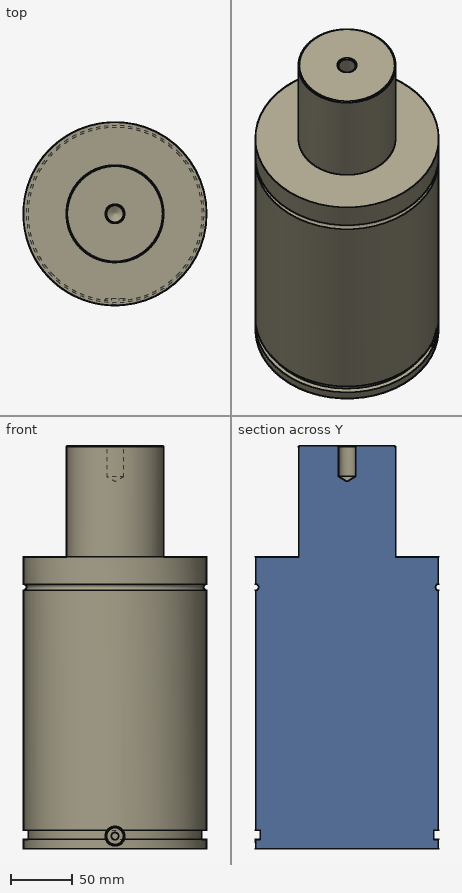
import cadquery as cq
import math

TOTAL_HEIGHT = 330.0
BODY_DIAMETER = 150.0
BODY_HEIGHT = 239.0
ROD_DIAMETER = 80.0
ROD_CHAMFER = 1.0

BASE_GROOVE_BOTTOM = 8.0
BASE_GROOVE_TOP = 15.2
BASE_GROOVE_DEPTH = 4.0

HEAD_GROOVE_HEIGHT = 214.2
HEAD_GROOVE_RADIUS = 2.48

ROD_HOLE_DIAMETER = 14.0
ROD_HOLE_MOUTH_DIAMETER = 16.0
ROD_HOLE_DEPTH = 25.0
DRILL_POINT_ANGLE = 118

PORT_HEIGHT = 10.5
PORT_DIAMETER = 16.0
PORT_FLOOR_DEPTH = 6.0
PLUG_RECESS = 1.0
PLUG_DIAMETER = 14.0
PLUG_HOLE_DIAMETER = 6.0
PLUG_HOLE_DEPTH = 5.0

BODY_RADIUS = BODY_DIAMETER / 2


def port_cylinder(diameter, depth_from, depth_to):
    """Cylinder along Y at the port, between two depths below the body surface."""
    return (
        cq.Workplane("XZ", origin=(0, depth_from - BODY_RADIUS, PORT_HEIGHT))
        .circle(diameter / 2)
        .extrude(depth_from - depth_to)
    )


def make_body():
    """Cylinder body with the square groove and the round-bottomed groove."""
    body = cq.Workplane("XY").circle(BODY_RADIUS).extrude(BODY_HEIGHT)
    base_groove = (
        cq.Workplane("XY", origin=(0, 0, BASE_GROOVE_BOTTOM))
        .circle(BODY_RADIUS)
        .circle(BODY_RADIUS - BASE_GROOVE_DEPTH)
        .extrude(BASE_GROOVE_TOP - BASE_GROOVE_BOTTOM)
    )
    head_groove = (
        cq.Workplane("XZ")
        .center(BODY_RADIUS, HEAD_GROOVE_HEIGHT)
        .circle(HEAD_GROOVE_RADIUS)
        .revolve(360, (-BODY_RADIUS, 0), (-BODY_RADIUS, 1))
    )
    return body.cut(base_groove).cut(head_groove)


def make_rod():
    """Chamfered rod with a chamfered, drilled blind hole in its end."""
    rod = (
        cq.Workplane("XY", origin=(0, 0, BODY_HEIGHT))
        .circle(ROD_DIAMETER / 2)
        .extrude(TOTAL_HEIGHT - BODY_HEIGHT)
    )
    rod = rod.faces(">Z").edges().chamfer(ROD_CHAMFER)
    hole_radius = ROD_HOLE_DIAMETER / 2
    mouth_radius = ROD_HOLE_MOUTH_DIAMETER / 2
    mouth_depth = mouth_radius - hole_radius
    cone_height = hole_radius / math.tan(math.radians(DRILL_POINT_ANGLE / 2))
    shoulder_height = TOTAL_HEIGHT - ROD_HOLE_DEPTH
    hole = (
        cq.Workplane("XZ")
        .moveTo(0, TOTAL_HEIGHT)
        .lineTo(mouth_radius, TOTAL_HEIGHT)
        .lineTo(hole_radius, TOTAL_HEIGHT - mouth_depth)
        .lineTo(hole_radius, shoulder_height)
        .lineTo(0, shoulder_height - cone_height)
        .close()
        .revolve(360, (0, 0), (0, 1))
    )
    return rod.cut(hole)


def make_plug():
    """Round plug, narrower than the port, recessed, with a small blind hole."""
    plug = port_cylinder(PLUG_DIAMETER, PLUG_RECESS, PORT_FLOOR_DEPTH)
    return plug.cut(port_cylinder(PLUG_HOLE_DIAMETER, PLUG_RECESS, PLUG_RECESS + PLUG_HOLE_DEPTH))


port = port_cylinder(PORT_DIAMETER, 0, PORT_FLOOR_DEPTH)
result = make_body().union(make_rod()).cut(port).union(make_plug())